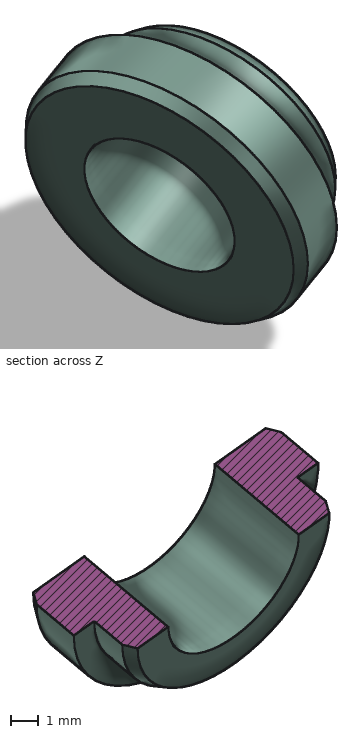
import cadquery as cq
import math

flange_diameter = 12.0
collar_diameter = 10.0
bore_diameter = 6.4
total_length = 4.5
flange_length = 2.5

chamfer_length = 0.5
chamfer_angle = 30.0
chamfer_depth = chamfer_length * math.tan(math.radians(chamfer_angle))

flange_radius = flange_diameter / 2
collar_radius = collar_diameter / 2
bore_radius = bore_diameter / 2

half_section = [
    (bore_radius, 0),
    (flange_radius - chamfer_depth, 0),
    (flange_radius, chamfer_length),
    (flange_radius, flange_length),
    (collar_radius, flange_length),
    (collar_radius, total_length - chamfer_length),
    (collar_radius - chamfer_depth, total_length),
    (bore_radius, total_length),
]

result = (
    cq.Workplane("XY")
    .polyline(half_section)
    .close()
    .revolve(360, (0, 0, 0), (0, 1, 0))
)